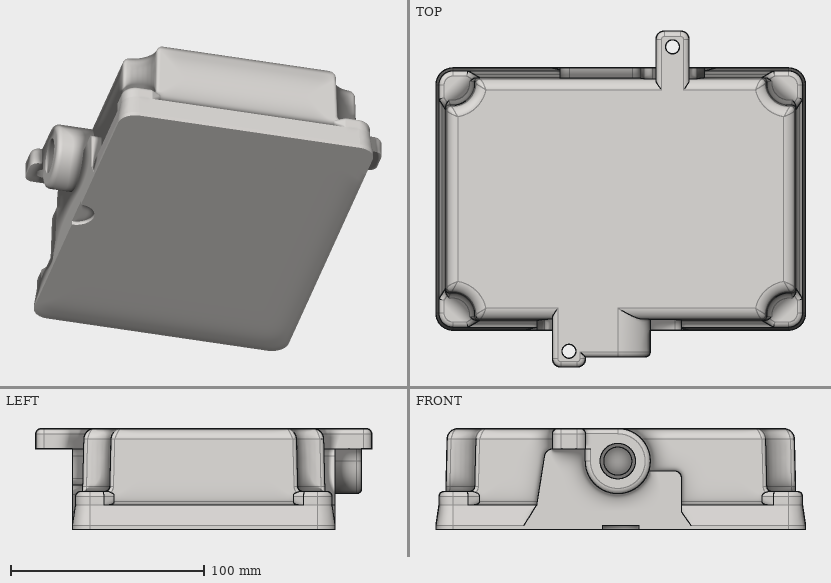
import cadquery as cq
import math

LENGTH = 191.5
WIDTH = 136.0
OVERALL_WIDTH = 174.0
HEIGHT = 52.3

RIM_HEIGHT = 2.1
FLANGE_TOP = 12.8
FLANGE_DRAFT = 8.5
FLANGE_CORNER_RADIUS = 9.0
FLANGE_FILLET = 1.7

BOX_BASE_LENGTH = 181.5
BOX_BASE_WIDTH = 125.8
BOX_DRAFT = 1.4
BOX_TOP_ROUND = 5.5

BOSS_TOP = 19.7
BOSS_ROUND = 2.7
BOSS_END_X = 81.8
BOSS_END_Y = 54.2
BOSS_INNER_X = 73.2
BOSS_INNER_Y = 46.3
SCALLOP_X = 87.1
SCALLOP_Y = 60.1
SCALLOP_RADIUS = 11.5
SCALLOP_FLOOR_FILLET = 2.7
SCALLOP_EDGE_ROUND = 2.0

TAB_WIDTH = 17.2
TAB_X = 26.8
TAB_THICKNESS = 10.5
TAB_CORNER_RADIUS = 4.5
TAB_HOLE_DIAMETER = 7.0
TAB_HOLE_FROM_END = 8.2
TAB_EDGE_ROUND = 2.9

GLAND_X = -1.5
GLAND_RADIUS = 16.9
GLAND_END = 81.8
GLAND_ROUND = 2.7
BORE_RADIUS = 9.2
BORE_DEPTH = 19.2
PLUG_RADIUS = 7.3
PLUG_LENGTH = 9.5

PAD_SLOPE_TOP_X = 38.9
PAD_SLOPE_FOOT_X = 43.5
PAD_SLOPE_ROUND = 4.5
PAD_SIDE_X = 31.5
PAD_SIDE_FOOT_Z = 9.2
PAD_FOOT_SPREAD_X = 50.2
PAD_FOOT_SIDE_X = 36.4
FRONT_SHELF_Z = 30.3
FRONT_SHELF_ROUND = 3.5
REAR_SHELF_Z = 23.0
REAR_SHELF_ROUND = 4.8
REAR_STEP_X = 9.5
REAR_STEP_FILLET = 4.0

NOTCH_RADIUS = 9.4

HALF_WIDTH = WIDTH / 2
TAB_END = OVERALL_WIDTH / 2
TAB_BOTTOM = HEIGHT - TAB_THICKNESS
TAB_ROOT = BOX_BASE_WIDTH / 2 - 2 * BOX_TOP_ROUND
GLAND_Z = HEIGHT - GLAND_RADIUS
PAD_INNER = TAB_ROOT
BORE_SHOULDER_Y = BORE_DEPTH - GLAND_END
TOLERANCE = 0.02
CORNERS = [(sx, sy) for sx in (-1, 1) for sy in (-1, 1)]


def rounded_outline(points):
    """Closed wire through (u, v, radius) corners; each nonzero radius becomes a tangent arc."""
    wire = None
    count = len(points)
    for i, (u, v, radius) in enumerate(points):
        corner = cq.Vector(u, v)
        back = (cq.Vector(*points[i - 1][:2]) - corner).normalized()
        ahead = (cq.Vector(*points[(i + 1) % count][:2]) - corner).normalized()
        half_angle = back.getAngle(ahead) / 2
        reach = radius / math.tan(half_angle)
        start = corner + back * reach
        wire = wire.lineTo(start.x, start.y) if wire else cq.Workplane("XZ").moveTo(start.x, start.y)
        if radius:
            bisector = (back + ahead).normalized()
            middle = corner + bisector * (radius / math.sin(half_angle) - radius)
            end = corner + ahead * reach
            wire = wire.threePointArc((middle.x, middle.y), (end.x, end.y))
    return wire.close()


def drafted_flange():
    rim = cq.Workplane().rect(LENGTH, WIDTH).extrude(RIM_HEIGHT)
    rim = rim.edges("|Z").fillet(FLANGE_CORNER_RADIUS)
    top = rim.faces(">Z").wires().toPending().workplane()
    return top.extrude(FLANGE_TOP - RIM_HEIGHT, taper=FLANGE_DRAFT)


def corner_boss(sx, sy):
    """Upright raised corner on the flange, with oblique ends and a rounded top."""
    half_length = LENGTH / 2
    outline = [
        (half_length, HALF_WIDTH),
        (BOSS_END_X, HALF_WIDTH),
        (BOSS_INNER_X, BOX_BASE_WIDTH / 2),
        (BOSS_INNER_X, BOSS_INNER_Y),
        (BOX_BASE_LENGTH / 2, BOSS_INNER_Y),
        (half_length, BOSS_END_Y),
    ]
    column = cq.Workplane().polyline([(sx * x, sy * y) for x, y in outline]).close().extrude(BOSS_TOP)
    flange_edge = drafted_flange().faces(">Z").wires().toPending().workplane()
    boss = flange_edge.extrude(BOSS_TOP - FLANGE_TOP, combine=False).intersect(column)
    return boss.faces(">Z").edges().fillet(BOSS_ROUND)


def scallop_cutter(sx, sy):
    cutter = (
        cq.Workplane(origin=(sx * SCALLOP_X, sy * SCALLOP_Y, BOSS_TOP))
        .circle(SCALLOP_RADIUS)
        .extrude(HEIGHT - BOSS_TOP, taper=-BOX_DRAFT)
    )
    return cutter.faces("<Z").edges().fillet(SCALLOP_FLOOR_FILLET)


def is_scallop_edge(edge):
    """True for the steep edges between a scallop and a box wall."""
    upright = abs(edge.tangentAt(0.5).z) > 0.9
    return upright and edge.Center().z > BOSS_TOP + SCALLOP_FLOOR_FILLET


def scalloped_box():
    box = (
        cq.Workplane(origin=(0, 0, FLANGE_TOP))
        .rect(BOX_BASE_LENGTH, BOX_BASE_WIDTH)
        .extrude(HEIGHT - FLANGE_TOP, taper=BOX_DRAFT)
    )
    for sx, sy in CORNERS:
        box = box.cut(scallop_cutter(sx, sy))
    box = box.edges().filter(is_scallop_edge).fillet(SCALLOP_EDGE_ROUND)
    return box.faces(">Z").edges().fillet(BOX_TOP_ROUND)


def mounting_tab(side):
    """Tab with rounded end and top edges; side is -1 at the front and +1 at the rear."""
    tab = (
        cq.Workplane(origin=(side * TAB_X, side * (TAB_END + TAB_ROOT) / 2, TAB_BOTTOM))
        .rect(TAB_WIDTH, TAB_END - TAB_ROOT)
        .extrude(TAB_THICKNESS)
    )
    outer_end = ">Y" if side > 0 else "<Y"
    tab = tab.faces(outer_end).edges("|Z").fillet(TAB_CORNER_RADIUS)
    return tab.faces(">Z").edges().fillet(TAB_EDGE_ROUND)


def tab_hole(side):
    return (
        cq.Workplane(origin=(side * TAB_X, side * (TAB_END - TAB_HOLE_FROM_END), TAB_BOTTOM))
        .circle(TAB_HOLE_DIAMETER / 2)
        .extrude(TAB_THICKNESS)
    )


def cable_gland():
    """Round boss whose top continues level into the middle of the front tab."""
    left = GLAND_X - GLAND_RADIUS
    gland = (
        cq.Workplane("XZ", origin=(0, -TAB_ROOT, 0))
        .moveTo(-TAB_X, HEIGHT)
        .lineTo(GLAND_X, HEIGHT)
        .threePointArc((GLAND_X + GLAND_RADIUS, GLAND_Z), (GLAND_X, GLAND_Z - GLAND_RADIUS))
        .radiusArc((left, GLAND_Z), GLAND_RADIUS)
        .lineTo(left, TAB_BOTTOM)
        .lineTo(-TAB_X, TAB_BOTTOM)
        .close()
        .extrude(GLAND_END - TAB_ROOT)
    )
    rim = gland.faces("<Y").edges().filter(is_gland_rim)
    return rim.fillet(GLAND_ROUND)


def is_gland_rim(edge):
    """True for the exposed edges of the gland face, not those inside the tab."""
    center = edge.Center()
    return center.x > GLAND_X - GLAND_RADIUS - TOLERANCE or center.z > HEIGHT - TOLERANCE


def front_pad():
    return rounded_outline([
        (-PAD_FOOT_SPREAD_X, 0, 0),
        (-PAD_FOOT_SPREAD_X, RIM_HEIGHT, 0),
        (-PAD_SLOPE_FOOT_X, FLANGE_TOP, 0),
        (-PAD_SLOPE_TOP_X, TAB_BOTTOM, PAD_SLOPE_ROUND),
        (GLAND_X, TAB_BOTTOM, 0),
        (GLAND_X, FRONT_SHELF_Z, 0),
        (PAD_SIDE_X, FRONT_SHELF_Z, FRONT_SHELF_ROUND),
        (PAD_SIDE_X, PAD_SIDE_FOOT_Z, 0),
        (PAD_FOOT_SIDE_X, RIM_HEIGHT, 0),
        (PAD_FOOT_SIDE_X, 0, 0),
    ]).extrude(HALF_WIDTH - PAD_INNER).translate((0, -PAD_INNER, 0))


def rear_pad():
    slope = (PAD_SLOPE_FOOT_X - PAD_SLOPE_TOP_X) / (TAB_BOTTOM - FLANGE_TOP)
    step_top_x = REAR_STEP_X + slope * (TAB_BOTTOM - REAR_SHELF_Z)
    return rounded_outline([
        (PAD_FOOT_SPREAD_X, 0, 0),
        (PAD_FOOT_SPREAD_X, RIM_HEIGHT, 0),
        (PAD_SLOPE_FOOT_X, FLANGE_TOP, 0),
        (PAD_SLOPE_TOP_X, TAB_BOTTOM, PAD_SLOPE_ROUND),
        (step_top_x, TAB_BOTTOM, PAD_SLOPE_ROUND),
        (REAR_STEP_X, REAR_SHELF_Z, REAR_STEP_FILLET),
        (-PAD_SIDE_X, REAR_SHELF_Z, REAR_SHELF_ROUND),
        (-PAD_SIDE_X, PAD_SIDE_FOOT_Z, 0),
        (-PAD_FOOT_SIDE_X, RIM_HEIGHT, 0),
        (-PAD_FOOT_SIDE_X, 0, 0),
    ]).extrude(HALF_WIDTH - PAD_INNER).translate((0, HALF_WIDTH, 0))


def rim_notch():
    """Notch that narrows inwards between two quarter-round sides."""
    tip_y = NOTCH_RADIUS - HALF_WIDTH
    return (
        cq.Workplane()
        .moveTo(-NOTCH_RADIUS, -HALF_WIDTH)
        .radiusArc((0, tip_y), NOTCH_RADIUS)
        .radiusArc((NOTCH_RADIUS, -HALF_WIDTH), NOTCH_RADIUS)
        .close()
        .extrude(RIM_HEIGHT)
    )


def bore_cylinder(radius, start_y, length):
    """Cylinder on the gland axis from start_y inwards."""
    return (
        cq.Workplane("XZ", origin=(GLAND_X, start_y, GLAND_Z))
        .circle(radius)
        .extrude(-length)
    )


def make_plug():
    return bore_cylinder(PLUG_RADIUS, BORE_SHOULDER_Y, PLUG_LENGTH)


def is_box_foot_edge(edge):
    """True for the edges where the box walls meet the top of the flange."""
    box = edge.BoundingBox()
    on_flange_top = abs(box.zmin - FLANGE_TOP) < TOLERANCE and box.zlen < TOLERANCE
    within_x = max(abs(box.xmin), abs(box.xmax)) < BOX_BASE_LENGTH / 2 + TOLERANCE
    within_y = max(abs(box.ymin), abs(box.ymax)) < BOX_BASE_WIDTH / 2 + TOLERANCE
    return on_flange_top and within_x and within_y


def make_housing():
    body = drafted_flange().union(scalloped_box())
    body = body.edges().filter(is_box_foot_edge).fillet(FLANGE_FILLET)
    for sx, sy in CORNERS:
        body = body.union(corner_boss(sx, sy))
    body = body.union(front_pad()).union(rear_pad()).union(cable_gland())
    for side in (-1, 1):
        body = body.union(mounting_tab(side)).cut(tab_hole(side))
    body = body.cut(rim_notch())
    body = body.cut(bore_cylinder(BORE_RADIUS, -GLAND_END, BORE_DEPTH))
    return body.cut(make_plug())


housing = make_housing()
plug = make_plug()
result = cq.Compound.makeCompound([housing.val(), plug.val()])